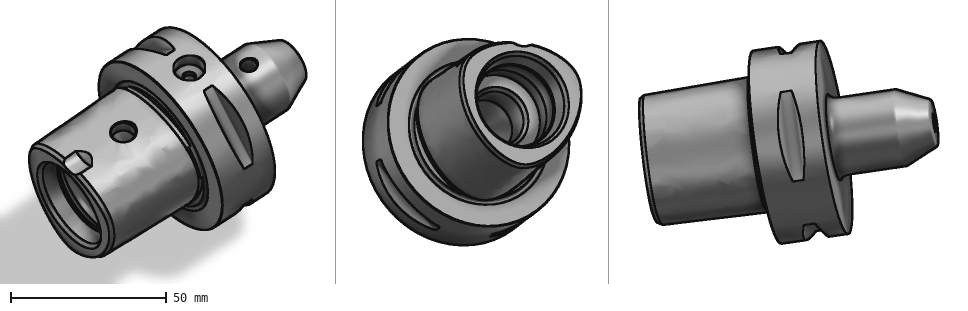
import cadquery as cq
import math


flange_diameter = 63.0
flange_radius = flange_diameter / 2
flange_thickness = 22.0
flange_chamfer = 0.2

nose_length = 32.9
nose_radius = 12.6
nose_tip_radius = 7.6
nose_cone_length = 10.9
nose_tip_fillet = 1.1
nose_edge_fillet = 1.4
nose_root_fillet = 3.35
nose_root_height = 2.8

taper_length = 38.0
taper_start = 2.1
polygon_radius = 22.0
polygon_lobe = 1.4
polygon_samples = 72
taper_slope = 1 / 40
tip_chamfer_length = 1.5
tip_chamfer_depth = 0.8

neck_relief = 0.3
neck_radius = 22.4
neck_length = 1.95
neck_straight = 1.0
pad_height = 0.3
groove_outer_radius = 24.2

drive_slot_y = 12.1
drive_slot_floor = 27.9
drive_slot_width = 3.5
drive_slot_flare = 0.58
drive_slot_fillet = 0.4
flange_hole_radius = 5.1
flange_hole_chamfer = 0.2
flange_hole_depth = 5.0
pilot_diameter = 4.4
pilot_radius = pilot_diameter / 2
pilot_depth = 1.9
nose_hole_diameter = 5.1
nose_hole_radius = nose_hole_diameter / 2
nose_hole_chamfer = 0.5
nose_hole_from_end = 18.0
tool_bore_radius = 3.0
tool_bore_depth = 35.3
taper_hole_y = -15.4
taper_hole_radius = 3.9
taper_hole_rim = 20.4
taper_hole_chamfer = 0.6
taper_hole_depth = 4.6
drill_point = math.radians(59)

mouth_radius = 16.2
mouth_depth = 1.5
seat_radius = 15.2
lip_radius = 13.7
lip_chamfer = 0.2
lip_start = 6.4
lip_width = 1.0
groove_arc_start = 11.7
groove_arc_end = 12.8
groove_cone_foot = 15.7
bore_radius = 14.2
bore_start = 14.7
bore_end = 20.5
screw_entry_radius = 10.2
screw_radius = 9.0
screw_end = 31.6

notch_radius = 6.0
notch_floor = 18.1
notch_length = 6.2
notch_cone_angle = math.radians(38)

clearance = 0.9

flange_back = flange_thickness
nose_end = flange_back + nose_length
taper_tip = -taper_length


def revolve(profile):
    """Turn a closed (radius, y) wire about the Y axis."""
    return profile.close().revolve(360, (0, 0, 0), (0, 1, 0))


def polygon_section(radius, y):
    """Three-lobed section at height y, with one lobe pointing to -Z."""

    def point(t):
        angle = 2 * math.pi * t
        support = radius + polygon_lobe * math.sin(3 * angle)
        slope = 3 * polygon_lobe * math.cos(3 * angle)
        x = support * math.cos(angle) - slope * math.sin(angle)
        z = support * math.sin(angle) + slope * math.cos(angle)
        return cq.Vector(x, y, z)

    edge = cq.Edge.makeSpline([point(i / polygon_samples) for i in range(polygon_samples)], periodic=True)
    return cq.Wire.assembleEdges([edge])


def polygon_solid(radius_a, y_a, radius_b, y_b):
    sections = [polygon_section(radius_a, y_a), polygon_section(radius_b, y_b)]
    return cq.Workplane(obj=cq.Solid.makeLoft(sections, True))


def drill(radius, depth, top, y):
    """Blind hole drilled down from z = top, with a conical bottom."""
    point_height = radius / math.tan(drill_point)
    outline = (
        cq.Workplane("XZ")
        .polyline([
            (0, flange_radius), (radius, flange_radius), (radius, top - depth),
            (0, top - depth - point_height),
        ])
        .close()
    )
    return outline.revolve(360, (0, 0, 0), (0, 1, 0)).translate((0, y, 0))


def countersink(radius, chamfer, rim, y):
    """45 degree cone that widens the hole of the given radius at z = rim."""
    height = chamfer + clearance
    cone = cq.Solid.makeCone(
        radius, radius + height, height, cq.Vector(0, y, rim - chamfer), cq.Vector(0, 0, 1))
    return cq.Workplane(obj=cone)


def make_flange_and_nose():
    cone_foot = nose_end - nose_cone_length
    body = revolve(
        cq.Workplane("XY")
        .moveTo(0, 0)
        .lineTo(flange_radius - flange_chamfer, 0)
        .lineTo(flange_radius, flange_chamfer)
        .lineTo(flange_radius, flange_back)
        .lineTo(0, flange_back)
    )
    root_spread = nose_root_fillet - math.sqrt(nose_root_fillet**2 - nose_root_height**2)
    half_turn = math.asin(nose_root_height / nose_root_fillet) / 2
    root_center = (nose_radius + nose_root_fillet, flange_back + nose_root_height)
    root_mid = (
        root_center[0] - nose_root_fillet * math.cos(half_turn),
        root_center[1] - nose_root_fillet * math.sin(half_turn),
    )
    nose = revolve(
        cq.Workplane("XY")
        .moveTo(0, flange_back)
        .lineTo(nose_radius + root_spread, flange_back)
        .threePointArc(root_mid, (nose_radius, root_center[1]))
        .lineTo(nose_radius, cone_foot)
        .lineTo(nose_tip_radius, nose_end)
        .lineTo(0, nose_end)
    )
    cone_edge = cq.selectors.NearestToPointSelector((nose_radius, cone_foot, 0))
    nose = nose.edges("%CIRCLE").edges(cone_edge).fillet(nose_edge_fillet)
    nose = nose.faces(">Y").edges().fillet(nose_tip_fillet)
    return body.union(nose)


def make_taper():
    chamfer_y = taper_tip + tip_chamfer_length
    end_radius = polygon_radius - taper_slope * (-taper_start - chamfer_y)
    shank = polygon_solid(polygon_radius, -taper_start, end_radius, chamfer_y)
    tip = polygon_solid(end_radius, chamfer_y, end_radius - tip_chamfer_depth, taper_tip)
    lead = polygon_solid(polygon_radius - neck_relief, -neck_length, polygon_radius, -taper_start)
    return shank.union(lead).union(tip)


def make_neck():
    prism_radius = polygon_radius - neck_relief
    prism = polygon_solid(prism_radius, clearance, prism_radius, -neck_length)
    cone_spread = neck_length - neck_straight
    envelope = revolve(
        cq.Workplane("XY")
        .polyline([
            (0, clearance), (neck_radius, clearance), (neck_radius, -neck_straight),
            (neck_radius + cone_spread, -neck_length), (0, -neck_length),
        ])
    )
    pad = revolve(
        cq.Workplane("XY")
        .polyline([(0, clearance), (neck_radius, clearance), (neck_radius, -pad_height), (0, -pad_height)])
    )
    return prism.intersect(envelope).union(pad)


def make_face_groove():
    """Half-round ring groove in the gauge face around the neck."""
    middle = (neck_radius + groove_outer_radius) / 2
    depth = (groove_outer_radius - neck_radius) / 2
    return revolve(
        cq.Workplane("XY")
        .moveTo(neck_radius, 0)
        .threePointArc((middle, depth), (groove_outer_radius, 0))
    )


def make_drive_slots():
    """Four flared slots across the flange rim, centred at 45 degrees between X and Z."""
    height = flange_radius + clearance - drive_slot_floor
    half_floor = drive_slot_width / 2
    half_top = half_floor + drive_slot_flare * height
    slot = (
        cq.Workplane("YZ")
        .polyline([
            (drive_slot_y - half_floor, drive_slot_floor),
            (drive_slot_y + half_floor, drive_slot_floor),
            (drive_slot_y + half_top, drive_slot_floor + height),
            (drive_slot_y - half_top, drive_slot_floor + height),
        ])
        .close()
        .extrude(flange_radius, both=True)
        .faces("<Z")
        .edges("|X")
        .fillet(drive_slot_fillet)
    )
    slots = cq.Workplane()
    for angle in (45, 135, 225, 315):
        slots = slots.add(slot.rotate((0, 0, 0), (0, 1, 0), angle))
    return slots.combine()


def make_taper_bore():
    """Bore from the taper tip: tapered mouth, lip, clamping groove, main bore, screw hole."""
    cone_angle = math.atan2(groove_cone_foot - bore_radius, bore_start - groove_arc_end)
    arc_radius = (groove_arc_end - groove_arc_start) / math.sin(cone_angle)
    groove_radius = groove_cone_foot + arc_radius * (1 - math.cos(cone_angle))
    arc_mid = (
        groove_radius - arc_radius * (1 - math.cos(cone_angle / 2)),
        groove_arc_start + arc_radius * math.sin(cone_angle / 2),
    )
    lip_end = lip_start + lip_width
    groove_start = lip_end + groove_radius - lip_radius
    screw_start = bore_end + screw_entry_radius - screw_radius
    cutter = revolve(
        cq.Workplane("XY")
        .lineTo(mouth_radius, 0)
        .lineTo(seat_radius, mouth_depth)
        .lineTo(lip_radius + lip_chamfer, lip_start)
        .lineTo(lip_radius, lip_start + lip_chamfer)
        .lineTo(lip_radius, lip_end)
        .lineTo(groove_radius, groove_start)
        .lineTo(groove_radius, groove_arc_start)
        .threePointArc(arc_mid, (groove_cone_foot, groove_arc_end))
        .lineTo(bore_radius, bore_start)
        .lineTo(bore_radius, bore_end)
        .lineTo(screw_entry_radius, bore_end)
        .lineTo(screw_radius, screw_start)
        .lineTo(screw_radius, screw_end)
        .lineTo(0, screw_end + screw_radius / math.tan(drill_point))
    )
    return cutter.translate((0, taper_tip, 0))


def make_tip_notch():
    """Round-bottomed notch along Y in the top of the taper tip, ending in a cone."""
    cone_length = notch_radius / math.tan(notch_cone_angle)
    cutter = revolve(
        cq.Workplane("XY")
        .polyline([
            (0, 0), (notch_radius, 0), (notch_radius, notch_length), (0, notch_length + cone_length),
        ])
    )
    return cutter.translate((0, taper_tip, notch_floor + notch_radius))


def make_flange_hole():
    floor = flange_radius - flange_hole_depth
    seat = (
        cq.Workplane("XY", origin=(0, drive_slot_y, floor))
        .circle(flange_hole_radius)
        .extrude(flange_hole_depth + clearance)
    )
    rim = countersink(flange_hole_radius, flange_hole_chamfer, flange_radius, drive_slot_y)
    return seat.union(rim).union(drill(pilot_radius, pilot_depth, floor, drive_slot_y))


def make_tool_bore():
    """Tool bore from the nose end and the cross hole that opens into it."""
    hole_y = nose_end - nose_hole_from_end
    bore = (
        cq.Workplane("XZ", origin=(0, nose_end, 0))
        .circle(tool_bore_radius)
        .extrude(tool_bore_depth)
    )
    hole = (
        cq.Workplane("XY", origin=(0, hole_y, 0))
        .circle(nose_hole_radius)
        .extrude(nose_radius + clearance)
    )
    rim = countersink(nose_hole_radius, nose_hole_chamfer, nose_radius, hole_y)
    return bore.union(hole).union(rim)


def make_taper_hole():
    hole = drill(taper_hole_radius, taper_hole_depth, taper_hole_rim, taper_hole_y)
    return hole.union(countersink(taper_hole_radius, taper_hole_chamfer, taper_hole_rim, taper_hole_y))


result = (
    make_flange_and_nose()
    .cut(make_face_groove())
    .union(make_neck())
    .union(make_taper())
    .cut(make_taper_bore())
    .cut(make_tip_notch())
    .cut(make_taper_hole())
    .cut(make_drive_slots())
    .cut(make_flange_hole())
    .cut(make_tool_bore())
)